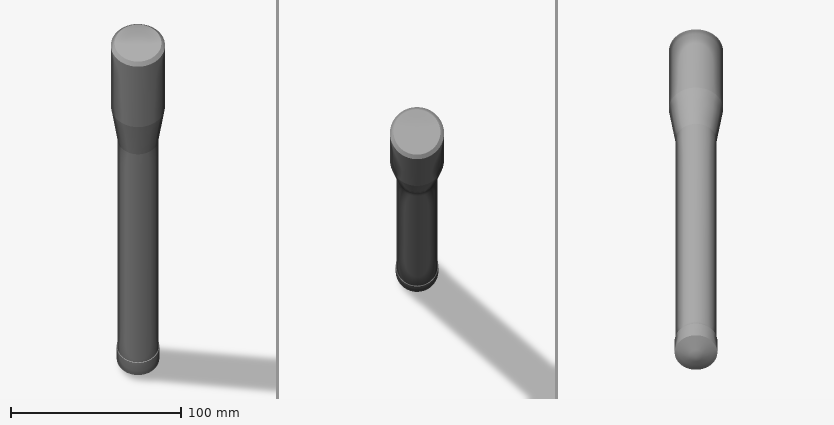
import cadquery as cq

TOTAL_LENGTH = 305.5
POINT_HEIGHT = 4.5
HEAD_TOP = 16.2

HANDLE_LENGTH = 60.0
TAPER_LENGTH = 31.0
TOP_CHAMFER = 2.0

HANDLE_RADIUS = 31.8 / 2
SHANK_RADIUS = 24.0 / 2
HEAD_RADIUS = 25.0 / 2

handle_bottom = TOTAL_LENGTH - HANDLE_LENGTH
taper_bottom = handle_bottom - TAPER_LENGTH


def make_body():
    """Handle with a chamfered top, tapering down to the slimmer shank."""
    profile = (
        cq.Workplane("XZ")
        .moveTo(0, HEAD_TOP)
        .lineTo(SHANK_RADIUS, HEAD_TOP)
        .lineTo(SHANK_RADIUS, taper_bottom)
        .lineTo(HANDLE_RADIUS, handle_bottom)
        .lineTo(HANDLE_RADIUS, TOTAL_LENGTH - TOP_CHAMFER)
        .lineTo(HANDLE_RADIUS - TOP_CHAMFER, TOTAL_LENGTH)
        .lineTo(0, TOTAL_LENGTH)
        .close()
    )
    return profile.revolve(360, (0, 0), (0, 1))


def make_cutting_head():
    """Short cylinder with a conical point, seated against the shank's end."""
    profile = (
        cq.Workplane("XZ")
        .lineTo(HEAD_RADIUS, POINT_HEIGHT)
        .lineTo(HEAD_RADIUS, HEAD_TOP)
        .lineTo(0, HEAD_TOP)
        .close()
    )
    return profile.revolve(360, (0, 0), (0, 1))


body = make_body()
cutting_head = make_cutting_head()

result = cq.Compound.makeCompound([body.val(), cutting_head.val()])